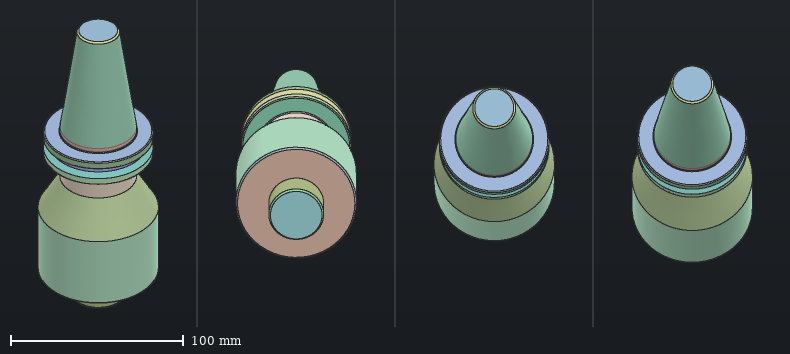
import cadquery as cq
import math

GAUGE_DIAMETER = 44.45
TAPER_LENGTH = 68.25
TAPER_RATIO = 7 / 24
TAPER_TIP_CHAMFER = 1.0

COLLAR_WIDTH = 0.5
COLLAR_HEIGHT = 1.0
COLLAR_FOOT_HEIGHT = 0.5
COLLAR_FOOT_TOP_WIDTH = 0.05

FLANGE_DIAMETER = 63.5
FLANGE_GAP = 3.175
FLANGE_THICKNESS = 15.875
FLANGE_CHAMFER_HEIGHT = 0.5
FLANGE_CHAMFER_WIDTH = 0.77
V_FLOOR_DIAMETER = 56.35
V_FLOOR_WIDTH = 2.4
V_CENTRE_BELOW_FLANGE_TOP = 7.925
V_INCLUDED_ANGLE = 65

NECK_DIAMETER = GAUGE_DIAMETER
BODY_DIAMETER = 69.85
BODY_FACE_BELOW_GAUGE = 101.6
BODY_LENGTH = 44.45
BODY_CHAMFER_HEIGHT = 1.0
BODY_CHAMFER_WIDTH = 1.0
CONE_HALF_ANGLE = 30

PILOT_DIAMETER = 31.75
OVERALL_LENGTH = 187.3
PILOT_CHAMFER_HEIGHT = 1.5
PILOT_CHAMFER_WIDTH = 0.95

gauge_radius = GAUGE_DIAMETER / 2
tip_radius = gauge_radius - TAPER_LENGTH * TAPER_RATIO / 2
flange_radius = FLANGE_DIAMETER / 2
neck_radius = NECK_DIAMETER / 2
body_radius = BODY_DIAMETER / 2
pilot_radius = PILOT_DIAMETER / 2

flange_top = -FLANGE_GAP
flange_bottom = flange_top - FLANGE_THICKNESS
body_bottom = -BODY_FACE_BELOW_GAUGE
body_top = body_bottom + BODY_LENGTH
cone_top = body_top + (body_radius - neck_radius) / math.tan(math.radians(CONE_HALF_ANGLE))
pilot_bottom = TAPER_LENGTH - OVERALL_LENGTH


def disc(radius, bottom, top):
    """Cylinder about Z between two levels."""
    return cq.Workplane("XY").workplane(offset=bottom).circle(radius).extrude(top - bottom)


def revolve_profile(points):
    """Full turn about Z of a closed (radius, Z) outline."""
    return cq.Workplane("XZ").polyline(points).close().revolve(360, (0, 0), (0, 1))


def make_taper():
    """Taper with a chamfered tip, plus the straight shank from the gauge line to the flange."""
    taper = revolve_profile([(0, 0), (gauge_radius, 0), (tip_radius, TAPER_LENGTH), (0, TAPER_LENGTH)])
    taper = taper.faces(">Z").chamfer(TAPER_TIP_CHAMFER)
    return taper.union(disc(gauge_radius, flange_top, 0))


def make_upper_collar():
    """Ring on the upper flange face: steep slope off the shank, then a wider foot."""
    return revolve_profile([
        (0, flange_top),
        (gauge_radius + COLLAR_WIDTH, flange_top),
        (gauge_radius + COLLAR_FOOT_TOP_WIDTH, flange_top + COLLAR_FOOT_HEIGHT),
        (gauge_radius, flange_top + COLLAR_HEIGHT),
        (0, flange_top + COLLAR_HEIGHT),
    ])


def make_lower_collar():
    """Ring on the lower flange face: one straight slope down to the neck."""
    return revolve_profile([
        (0, flange_bottom),
        (neck_radius + COLLAR_WIDTH, flange_bottom),
        (neck_radius, flange_bottom - COLLAR_HEIGHT),
        (0, flange_bottom - COLLAR_HEIGHT),
    ])


def make_flange():
    """Flange with sloped outer rims and a flat-bottomed V-groove around its edge."""
    floor_radius = V_FLOOR_DIAMETER / 2
    flank_height = (flange_radius - floor_radius) * math.tan(math.radians(V_INCLUDED_ANGLE / 2))
    floor_half = V_FLOOR_WIDTH / 2
    mouth_half = floor_half + flank_height
    centre = flange_top - V_CENTRE_BELOW_FLANGE_TOP
    groove = revolve_profile([
        (floor_radius, centre - floor_half),
        (flange_radius, centre - mouth_half),
        (flange_radius, centre + mouth_half),
        (floor_radius, centre + floor_half),
    ])
    rim_radius = flange_radius - FLANGE_CHAMFER_WIDTH
    flange = revolve_profile([
        (0, flange_bottom),
        (rim_radius, flange_bottom),
        (flange_radius, flange_bottom + FLANGE_CHAMFER_HEIGHT),
        (flange_radius, flange_top - FLANGE_CHAMFER_HEIGHT),
        (rim_radius, flange_top),
        (0, flange_top),
    ])
    return flange.cut(groove)


def make_body():
    """Neck, cone and cylindrical body below the flange."""
    neck = disc(neck_radius, cone_top, flange_bottom)
    cone = revolve_profile([(0, body_top), (body_radius, body_top), (neck_radius, cone_top), (0, cone_top)])
    body = disc(body_radius, body_bottom, body_top)
    body = body.faces("<Z").chamfer(BODY_CHAMFER_HEIGHT, BODY_CHAMFER_WIDTH)
    return neck.union(cone).union(body)


def make_pilot():
    """Pilot with a chamfered end, below the lower face of the body."""
    pilot = disc(pilot_radius, pilot_bottom, body_bottom)
    return pilot.faces("<Z").chamfer(PILOT_CHAMFER_HEIGHT, PILOT_CHAMFER_WIDTH)


result = (
    make_taper()
    .union(make_upper_collar())
    .union(make_flange())
    .union(make_lower_collar())
    .union(make_body())
    .union(make_pilot())
)